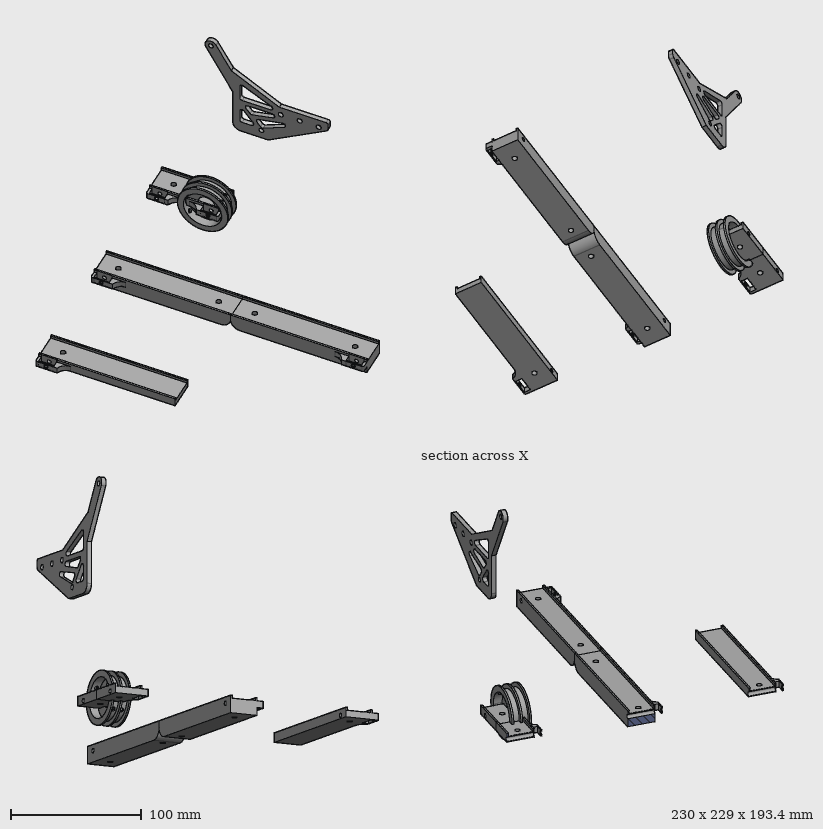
import cadquery as cq
import math

rail_width = 23.0
rail_height = 7.5
floor_thickness = 5.3
wall_thickness = 1.5
long_rail_length = 115.0
short_rail_length = 30.4
deep_rail_drop = 6.2
deep_end_radius = 8.5
screw_hole_diameter = 4.1
screw_hole_inset = 15.2
row_pitch = 100.0

lug_reach = 6.0
lug_tip_length = 18.5
lug_flare_radius = 8.7
lug_corner_radius = 1.4
window_inset = 2.3
window_length = 12.9
lug_wall_thickness = 1.0
wall_recess = 0.2
pin_hole_diameter = 3.2

pulley_x = 47.0
pulley_width = 16.0
pulley_front_gap = 1.5
flange_diameter = 42.5
flange_thickness = 1.5
drum_diameter = 35.6
bore_diameter = 32.2
hub_hole_diameter = 14.0
web_thickness = 1.5
web_hole_diameter = 4.1
web_hole_circle_radius = 10.8
cord_hole_diameter = 3.2
cord_hole_angle = 38.0

bracket_left_x = 66.7
bracket_thickness = 4.0
bracket_total_height = 86.5
bracket_bottom_z = 91.0
boom_end = (-18.5, 81.5)
boom_end_radius = bracket_total_height - boom_end[1]
boom_tilt = math.radians(30)
brace_top = (-1.2, 61.9)
brace_bottom_x = 39.3
arm_tip_x = 80.5
arm_top = 39.5
arm_tip_bottom = 31.5
base_length = 30.0
base_corner_radius = 7.0
arm_top_corner_radius = 1.8
arm_bottom_corner_radius = 3.5
pocket_corner_radius = 2.0
boom_hole_diameter = 4.0
base_hole = (24.2, 7.94)
base_hole_diameter = 4.0
arm_hole_start = 40.5
arm_hole_pitch = 15.98
arm_hole_height = 31.85
arm_hole_diameter = 4.1
arm_hole_count = 3

pockets = [
    [(6.0, 51.0), (40.0, 33.5), (6.0, 33.5)],
    [(8.3, 29.7), (50.5, 29.7), (15.5, 21.5)],
    [(6.0, 27.1), (19.8, 10.0), (6.0, 10.0)],
    [(18.5, 18.0), (59.8, 27.1), (24.4, 10.5)],
]


def box(x0, x1, y0, y1, z0, z1):
    """Block between two opposite corners."""
    return cq.Workplane("XY").box(x1 - x0, y1 - y0, z1 - z0, centered=False).translate((x0, y0, z0))


def channel(length, drop):
    """Plain rail: solid floor with an upright wall along each side, its front wall at Y = lug_reach."""
    front = lug_reach
    back = lug_reach + rail_width
    body = box(0, length, front, back, -drop, rail_height)
    trough = box(0, length, front + wall_thickness, back - wall_thickness, floor_thickness, rail_height)
    return body.cut(trough)


def lug():
    """Loop block in front of the wall, flaring into the wall with a concave arc."""
    flare_center_y = lug_reach - lug_flare_radius
    flare_end_x = lug_tip_length + math.sqrt(lug_flare_radius**2 - flare_center_y**2)
    middle_angle = math.radians(115)
    flare_middle = (
        flare_end_x + lug_flare_radius * math.cos(middle_angle),
        flare_center_y + lug_flare_radius * math.sin(middle_angle),
    )
    return (
        cq.Workplane("XY")
        .moveTo(0, lug_reach)
        .lineTo(0, lug_corner_radius)
        .radiusArc((lug_corner_radius, 0), -lug_corner_radius)
        .lineTo(lug_tip_length, 0)
        .threePointArc(flare_middle, (flare_end_x, lug_reach))
        .close()
        .extrude(floor_thickness)
    )


def rail(length, hole_places, drop=0.0, recess_bottom=0.0):
    """Rail with its lug at X = 0 and its lug's front face at Y = 0."""
    body = channel(length, drop)
    if drop > 0:
        body = body.faces(">X").edges("<Z").fillet(deep_end_radius)
    body = body.union(lug())
    window = box(
        window_inset,
        window_inset + window_length,
        lug_wall_thickness,
        lug_reach + wall_recess,
        recess_bottom,
        rail_height,
    )
    pin_hole = (
        cq.Workplane("XZ")
        .center(window_inset + window_length / 2, floor_thickness / 2)
        .circle(pin_hole_diameter / 2)
        .extrude(-(lug_reach + rail_width))
    )
    screw_holes = (
        cq.Workplane("XY", origin=(0, lug_reach + rail_width / 2, -drop))
        .pushPoints([(x, 0) for x in hole_places])
        .circle(screw_hole_diameter / 2)
        .extrude(drop + rail_height)
    )
    return body.cut(window).cut(pin_hole).cut(screw_holes)


def mirrored_pair(left, right, length):
    """Left rail as built, and the right one turned into its mirror image and butted against it."""
    return [left, right.mirror("YZ").translate((2 * length, 0, 0))]


def y_cylinder(diameter, y0, y1):
    """Cylinder along Y, centred on the pulley's axis."""
    return cq.Workplane("XZ", origin=(0, y0, 0)).circle(diameter / 2).extrude(y0 - y1)


def pulley():
    """Wheel around the Y axis, its front face at Y = 0."""
    flange_pitch = (pulley_width - flange_thickness) / 2
    wheel = y_cylinder(drum_diameter, 0, pulley_width)
    for i in range(3):
        wheel = wheel.union(y_cylinder(flange_diameter, i * flange_pitch, i * flange_pitch + flange_thickness))

    web_front = (pulley_width - web_thickness) / 2
    wheel = wheel.cut(y_cylinder(bore_diameter, 0, web_front))
    wheel = wheel.cut(y_cylinder(bore_diameter, web_front + web_thickness, pulley_width))
    wheel = wheel.cut(y_cylinder(hub_hole_diameter, 0, pulley_width))
    for side in (-1, 1):
        web_hole = y_cylinder(web_hole_diameter, 0, pulley_width)
        wheel = wheel.cut(web_hole.translate((0, 0, side * web_hole_circle_radius)))

    for groove in (0.5, 1.5):
        cord_hole = (
            cq.Workplane("YZ", origin=(-drum_diameter / 2, flange_thickness / 2 + groove * flange_pitch, 0))
            .circle(cord_hole_diameter / 2)
            .extrude(drum_diameter)
            .rotate((0, 0, 0), (0, 1, 0), -cord_hole_angle)
        )
        wheel = wheel.cut(cord_hole)
    return wheel


def bracket():
    """Flat plate standing in XZ, its left edge at X = 0, bottom at Z = 0 and back at Y = 0."""
    end_x, end_z = boom_end
    across_x = boom_end_radius * math.cos(boom_tilt)
    across_z = boom_end_radius * math.sin(boom_tilt)
    boom_left = (end_x - across_x, end_z - across_z)
    boom_right = (end_x + across_x, end_z + across_z)
    boom_tip = (end_x - across_z, end_z + across_x)
    boom_foot = (0, boom_left[1] + boom_left[0] / math.tan(boom_tilt))
    plate = (
        cq.Workplane("XZ")
        .moveTo(0, 0)
        .lineTo(base_length, 0)
        .lineTo(arm_tip_x, arm_tip_bottom)
        .lineTo(arm_tip_x, arm_top)
        .lineTo(brace_bottom_x, arm_top)
        .lineTo(*brace_top)
        .lineTo(*boom_right)
        .threePointArc(boom_tip, boom_left)
        .lineTo(*boom_foot)
        .close()
        .extrude(bracket_thickness)
    )
    corners = [
        ((0, 0), base_corner_radius),
        ((arm_tip_x, arm_tip_bottom), arm_bottom_corner_radius),
        ((arm_tip_x, arm_top), arm_top_corner_radius),
    ]
    for (x, z), radius in corners:
        middle = (x, -bracket_thickness / 2, z)
        plate = plate.edges(cq.selectors.NearestToPointSelector(middle)).fillet(radius)

    for points in pockets:
        pocket = cq.Workplane("XZ").polyline(points).close().extrude(bracket_thickness)
        plate = plate.cut(pocket.edges("|Y").fillet(pocket_corner_radius))

    holes = [(boom_end, boom_hole_diameter), (base_hole, base_hole_diameter)]
    for i in range(arm_hole_count):
        holes.append(((arm_hole_start + i * arm_hole_pitch, arm_hole_height), arm_hole_diameter))
    for place, diameter in holes:
        hole = cq.Workplane("XZ").center(*place).circle(diameter / 2).extrude(bracket_thickness)
        plate = plate.cut(hole)
    return plate


front_rail = rail(long_rail_length, [screw_hole_inset])

deep_holes = [screw_hole_inset, long_rail_length - screw_hole_inset]
deep_rails = mirrored_pair(
    rail(long_rail_length, deep_holes, deep_rail_drop, -deep_rail_drop),
    rail(long_rail_length, deep_holes, deep_rail_drop),
    long_rail_length,
)
deep_rails = [body.translate((0, row_pitch, 0)) for body in deep_rails]

short_rail = rail(short_rail_length, [screw_hole_inset])
short_rails = mirrored_pair(short_rail, short_rail, short_rail_length)
short_rails = [body.translate((0, 2 * row_pitch, 0)) for body in short_rails]

pulley_y = 2 * row_pitch + pulley_front_gap
rail_passage = channel(2 * short_rail_length, 0).translate((0, 2 * row_pitch, 0))
pulley_z = floor_thickness
wheel = pulley().translate((pulley_x, pulley_y, pulley_z)).cut(rail_passage)

plate = bracket().translate((bracket_left_x, pulley_y + pulley_width, bracket_bottom_z))

bodies = [front_rail, *deep_rails, *short_rails, wheel, plate]
result = cq.Compound.makeCompound([body.val() for body in bodies])